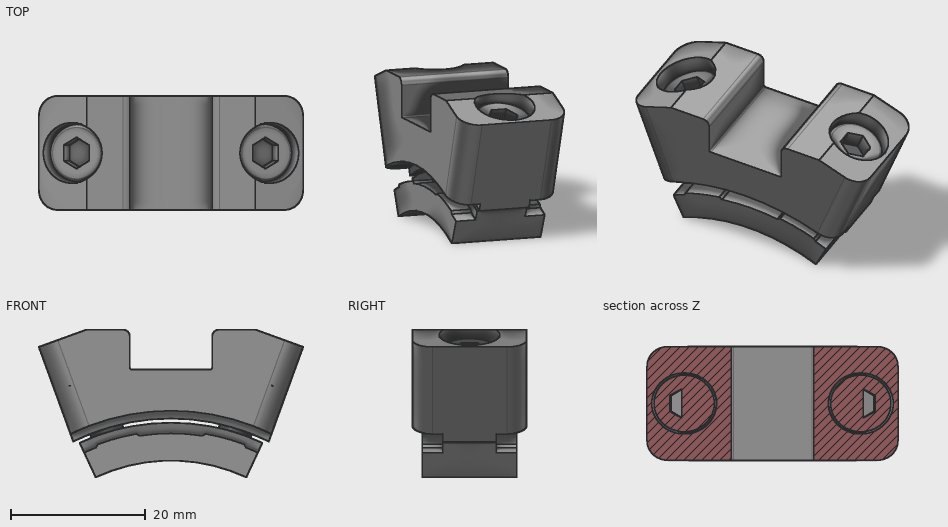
import cadquery as cq
import math

LENGTH = 39.33
WIDTH = 17.0
FLARE_ANGLE = 20.0
SHOULDER_X = 12.55
CORNER_RADIUS = 3.0
SLOT_WIDTH = 12.2
SLOT_DEPTH = 5.95
SLOT_TOP_RADIUS = 1.05
SLOT_ROOT_RADIUS = 0.25

CURVE_CENTER_Z = -46.0
BODY_RADIUS = 33.95
BODY_TONGUE_RADIUS = 32.75
TONGUE_WIDTH = 7.9

SHOE_WIDTH = 14.1
SHOE_HALF_ANGLE = 25.0
SHOE_TOP_RADIUS = 32.17
SHOE_BOTTOM_RADIUS = 26.5
LEDGE_RADIUS = 30.55
PAD_RADIUS = 30.9
PAD_INNER_ANGLE = 9.6
PAD_OUTER_ANGLE = 20.6
PAD_RAMP_ANGLE = 0.8

SCREW_X = 14.75
COUNTERBORE_DIAMETER = 9.0
HEAD_DIAMETER = 8.5
HEAD_RECESS = 2.0
HEAD_HEIGHT = 5.0
HEAD_EDGE_RADIUS = 0.45
SHANK_DIAMETER = 5.0
SHANK_END_DEPTH = 17.3
SOCKET_FLATS = 4.0
SOCKET_DEPTH = 2.6

flare = math.radians(FLARE_ANGLE)
half_length = LENGTH / 2


def shoulder_z(x):
    return -(x - SHOULDER_X) * math.tan(flare)


def polar(radius, angle):
    """Point at an angle in degrees from vertical, about the curve center."""
    turn = math.radians(angle)
    return radius * math.sin(turn), CURVE_CENTER_Z + radius * math.cos(turn)


def extrude_centered(profile, width):
    return profile.extrude(width / 2, both=True)


def disc(radius, width):
    circle = cq.Workplane("XZ").center(0, CURVE_CENTER_Z).circle(radius)
    return extrude_centered(circle, width)


def sector(inner_radius, outer_radius, start, end, width):
    middle = (start + end) / 2
    profile = (
        cq.Workplane("XZ")
        .moveTo(*polar(inner_radius, start))
        .lineTo(*polar(outer_radius, start))
        .threePointArc(polar(outer_radius, middle), polar(outer_radius, end))
        .lineTo(*polar(inner_radius, end))
        .threePointArc(polar(inner_radius, middle), polar(inner_radius, start))
        .close()
    )
    return extrude_centered(profile, width)


def make_body():
    end_z = shoulder_z(half_length)
    drop = end_z - CURVE_CENTER_Z
    foot_x = half_length - drop * math.tan(flare)
    block = extrude_centered(
        cq.Workplane("XZ").polyline([
            (-SHOULDER_X, 0),
            (SHOULDER_X, 0),
            (half_length, end_z),
            (foot_x, CURVE_CENTER_Z),
            (-foot_x, CURVE_CENTER_Z),
            (-half_length, end_z),
        ]).close(),
        WIDTH,
    )
    for side in (-1, 1):
        wall_direction = cq.Vector(side * math.sin(flare), 0, math.cos(flare))
        block = block.edges(cq.selectors.ParallelDirSelector(wall_direction)).fillet(CORNER_RADIUS)

    slot = (
        cq.Workplane("XY")
        .box(SLOT_WIDTH, WIDTH, SLOT_DEPTH, centered=(True, True, False))
        .translate((0, 0, -SLOT_DEPTH))
        .edges("|Y and <Z").fillet(SLOT_ROOT_RADIUS)
    )
    block = block.cut(slot)
    half_slot = SLOT_WIDTH / 2
    for side in (-1, 1):
        rim = cq.selectors.NearestToPointSelector((side * half_slot, 0, 0))
        block = block.edges("|Y").edges(rim).fillet(SLOT_TOP_RADIUS)

    tongue_envelope = cq.Workplane("XY").box(LENGTH, TONGUE_WIDTH, -2 * CURVE_CENTER_Z)
    tongue = block.intersect(tongue_envelope).cut(disc(BODY_TONGUE_RADIUS, WIDTH))
    return block.cut(disc(BODY_RADIUS, WIDTH)).union(tongue)


def make_pad(side):
    pad_middle = (PAD_INNER_ANGLE + PAD_OUTER_ANGLE) / 2
    foot_inner = PAD_INNER_ANGLE - PAD_RAMP_ANGLE
    foot_outer = PAD_OUTER_ANGLE + PAD_RAMP_ANGLE
    profile = (
        cq.Workplane("XZ")
        .moveTo(*polar(LEDGE_RADIUS, side * foot_inner))
        .lineTo(*polar(PAD_RADIUS, side * PAD_INNER_ANGLE))
        .threePointArc(polar(PAD_RADIUS, side * pad_middle), polar(PAD_RADIUS, side * PAD_OUTER_ANGLE))
        .lineTo(*polar(LEDGE_RADIUS, side * foot_outer))
        .lineTo(*polar(SHOE_BOTTOM_RADIUS, side * pad_middle))
        .close()
    )
    return extrude_centered(profile, SHOE_WIDTH)


def make_shoe():
    angles = (-SHOE_HALF_ANGLE, SHOE_HALF_ANGLE)
    shoe = sector(SHOE_BOTTOM_RADIUS, LEDGE_RADIUS, *angles, SHOE_WIDTH)
    shoe = shoe.union(sector(SHOE_BOTTOM_RADIUS, SHOE_TOP_RADIUS, *angles, TONGUE_WIDTH))
    for side in (-1, 1):
        shoe = shoe.union(make_pad(side))
    return shoe


def screw_plane(side):
    """Plane on the shoulder, with its normal along the screw axis and local Y along Y."""
    return cq.Plane(
        origin=(side * SCREW_X, 0, shoulder_z(SCREW_X)),
        xDir=(math.cos(flare), 0, -side * math.sin(flare)),
        normal=(side * math.sin(flare), 0, math.cos(flare)),
    )


def make_counterbore(side):
    seat_depth = HEAD_RECESS + HEAD_HEIGHT
    clearance_above = COUNTERBORE_DIAMETER
    return (
        cq.Workplane(screw_plane(side))
        .workplane(offset=-seat_depth)
        .circle(COUNTERBORE_DIAMETER / 2)
        .extrude(seat_depth + clearance_above)
    )


def make_screw(side):
    head_top = cq.Workplane(screw_plane(side)).workplane(offset=-HEAD_RECESS)
    head = head_top.circle(HEAD_DIAMETER / 2).extrude(-HEAD_HEIGHT)
    top_rim = cq.selectors.DirectionMinMaxSelector(screw_plane(side).zDir, True)
    head = head.edges(top_rim).fillet(HEAD_EDGE_RADIUS)
    socket_corners = SOCKET_FLATS / math.cos(math.pi / 6)
    socket = (
        head_top.transformed(rotate=(0, 0, 90))
        .polygon(6, socket_corners)
        .extrude(-SOCKET_DEPTH)
    )
    shank = head_top.circle(SHANK_DIAMETER / 2).extrude(HEAD_RECESS - SHANK_END_DEPTH)
    return head.union(shank).cut(socket)


result = make_body().union(make_shoe())
for screw_side in (-1, 1):
    result = result.cut(make_counterbore(screw_side)).union(make_screw(screw_side))